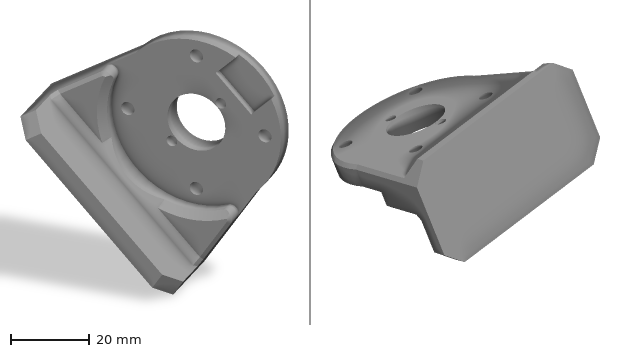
import cadquery as cq
import math

overall = 65.9
depth = 30.0
foot_half_length = 30.0
foot_drop = 30.0
foot_thickness = 5.0
foot_chamfer = 5.0
plate_back = 4.0
plate_front = 10.0

pad_front = 15.0
pad_edge_chamfer = 1.0
pad_seat_chamfer = 2.0
pad_tip_radius = 2.05

front_fill = 2.0
back_slope_lowest = 2.95

bore_radius = 8.05
mount_hole_diameter = 3.7
mount_circle_radius = 19.05
pin_hole_diameter = 2.95
pin_circle_radius = 9.6

notch_width = 14.0
notch_start = 14.6
notch_depth = 2.0

tilt = 45

plate_radius = overall - math.hypot(foot_half_length, foot_drop)
foot_bottom = -foot_drop
foot_top = foot_bottom + foot_thickness
side_run = foot_half_length - plate_radius
side_length = math.hypot(side_run, foot_drop)


def from_depth(start):
    """Sketch plane parallel to the plate, extruding forwards from the given depth."""
    return cq.Workplane("XZ", origin=(0, -start, 0))


def cylinder(radius, start, end):
    return from_depth(start).circle(radius).extrude(end - start)


def along_foot(points):
    """Prism along the whole foot from a (depth, height) section."""
    section = [(-d, height) for d, height in points]
    prism = cq.Workplane("YZ").polyline(section).close()
    return prism.extrude(2 * foot_half_length, both=True)


def outline(start, end):
    """Slanted sides rising from the foot to a semicircular top."""
    return (
        from_depth(start)
        .moveTo(-plate_radius, 0)
        .lineTo(-foot_half_length, foot_bottom)
        .lineTo(foot_half_length, foot_bottom)
        .lineTo(plate_radius, 0)
        .threePointArc((0, plate_radius), (-plate_radius, 0))
        .close()
        .extrude(end - start)
    )


def trapezoid(start, end):
    """The part of the outline below the bore axis."""
    corners = [
        (-plate_radius, 0),
        (-foot_half_length, foot_bottom),
        (foot_half_length, foot_bottom),
        (plate_radius, 0),
    ]
    return from_depth(start).polyline(corners).close().extrude(end - start)


def make_base():
    """Plate and foot, with the outline bevelled at the back and the foot ends bevelled in front."""
    plate = outline(0, plate_front)
    plate = plate.edges(">Y").edges("not <Z").chamfer(foot_chamfer)
    slope_bottom = foot_bottom + back_slope_lowest
    behind_plate = along_foot([
        (0, slope_bottom),
        (plate_back, slope_bottom + plate_back),
        (plate_back, plate_radius),
        (0, plate_radius),
    ])
    plate = plate.cut(behind_plate)

    foot_bar = along_foot([
        (plate_front, foot_bottom),
        (depth, foot_bottom),
        (depth, foot_top),
        (plate_front, foot_top),
    ])
    foot = trapezoid(plate_front, depth)
    foot = foot.edges("<Y").edges("<X or >X").chamfer(foot_chamfer)
    return plate.union(foot.intersect(foot_bar))


def make_pads():
    """Two pads beside the motor recess, with rounded tips and bevelled front edges."""
    up = (-side_run / side_length, foot_drop / side_length)
    out = (up[1], -up[0])
    side_distance = plate_radius * out[0]

    centre_out = side_distance - pad_tip_radius
    centre_radius = plate_radius + pad_tip_radius
    centre_up = -math.sqrt(centre_radius**2 - centre_out**2)
    centre_x = centre_out * out[0] + centre_up * up[0]
    centre_z = centre_out * out[1] + centre_up * up[1]

    on_side = (centre_x + pad_tip_radius * out[0], centre_z + pad_tip_radius * out[1])
    seat_ratio = plate_radius / centre_radius
    on_seat = (centre_x * seat_ratio, centre_z * seat_ratio)
    bisector = (out[0] - centre_x / centre_radius, out[1] - centre_z / centre_radius)
    bisector_length = math.hypot(*bisector)
    tip = (
        centre_x + pad_tip_radius * bisector[0] / bisector_length,
        centre_z + pad_tip_radius * bisector[1] / bisector_length,
    )

    def mirrored(point):
        return (-point[0], point[1])

    pads = (
        from_depth(plate_front)
        .moveTo(-foot_half_length, foot_bottom)
        .lineTo(*mirrored(on_side))
        .threePointArc(mirrored(tip), mirrored(on_seat))
        .threePointArc((0, -plate_radius), on_seat)
        .threePointArc(tip, on_side)
        .lineTo(foot_half_length, foot_bottom)
        .close()
        .extrude(pad_front - plate_front)
    )
    pads = pads.faces("<Y").edges("not <Z").chamfer(pad_edge_chamfer)
    seat_bevel = cq.Solid.makeCone(
        plate_radius,
        plate_radius + pad_seat_chamfer,
        pad_seat_chamfer,
        pnt=cq.Vector(0, pad_seat_chamfer - pad_front, 0),
        dir=cq.Vector(0, -1, 0),
    )
    return pads.cut(cq.Workplane(seat_bevel))


def make_front_fill():
    """45 degree fill where the pads rise from the foot, cleared by the motor recess."""
    deepest = pad_front + front_fill + foot_thickness
    fill = trapezoid(plate_front, deepest).intersect(along_foot([
        (plate_front, foot_bottom),
        (deepest, foot_bottom),
        (plate_front, foot_bottom + deepest - plate_front),
    ]))
    fill = fill.faces("<Y").edges("<X or >X").chamfer(pad_edge_chamfer)
    return fill.cut(cylinder(plate_radius, plate_front, deepest))


def cut_holes(blank):
    """Motor bore, four mounting holes and two pin holes on the centre plane, all right through."""
    drilled = blank.cut(cylinder(bore_radius, 0, plate_front))
    mounts = from_depth(0).polarArray(mount_circle_radius, tilt, 360, 4)
    drilled = drilled.cut(mounts.circle(mount_hole_diameter / 2).extrude(plate_front))
    pins = from_depth(0).polarArray(pin_circle_radius, 90, 360, 2)
    return drilled.cut(pins.circle(pin_hole_diameter / 2).extrude(plate_front))


def cut_notch(blank):
    """Shallow notch in the plate front, open at the top of the rim."""
    notch_height = plate_radius - notch_start
    notch = (
        from_depth(plate_front - notch_depth)
        .center(0, notch_start + notch_height / 2)
        .rect(notch_width, notch_height)
        .extrude(notch_depth)
    )
    return blank.cut(notch)


body = make_base().union(make_pads()).union(make_front_fill())
body = cut_holes(body)
body = cut_notch(body)
result = body.rotate((0, 0, 0), (0, 1, 0), tilt)